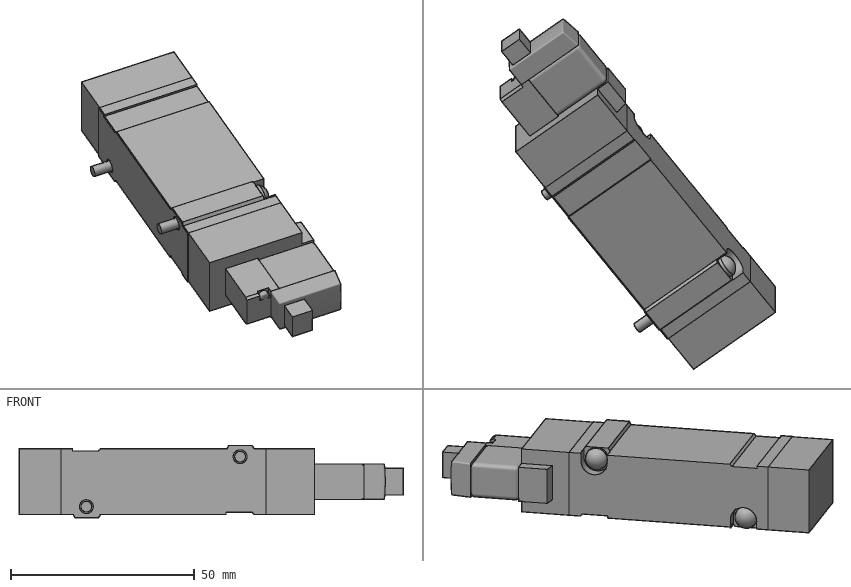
import cadquery as cq
import math


body_start = 11.4
body_end = 67.3
body_back = 28.3
body_height = 18.0
overall_height = 19.8
gasket_thickness = 0.3

key_starts = {-1: 14.8, 1: 56.8}
tab_left_draft = 0.4
tab_crest = 6.4
tab_right_draft = 0.6
tab_rise = (overall_height - body_height) / 2
groove_lead = 0.2
groove_floor = 7.0
groove_right_draft = 0.6
groove_depth = 0.6

screw_offset = 3.6
screw_height = 6.8
screw_diameter = 2.9
screw_tip = -5.1
clearance_diameter = 3.8
head_diameter = 6.2
head_rim = 0.9
head_dome = 2.0
seat_depth = 3.6
seat_diameter = 7.3
seat_y = body_back - seat_depth

pilot_end = 80.7

connector_height = 9.8
connector_end = 94.2
connector_back = 31.9
socket_front = 5.1
socket_back = 14.9
socket_bevel = 0.8
socket_bevel_drop = 0.4
tongue_start = 72.0
tongue_slant = 0.7

cover_front = 12.4

notch_length = 1.6
notch_front = 9.0
notch_depth = 2.1
lamp_diameter = 2.7
lamp_fillet = 0.6
lamp_y = (notch_front + cover_front) / 2

housing_fillet = 1.2
cover_end_back = 30.9
cover_side_end = 99.8
cover_bulge = 0.2
cover_fillet = 0.4
lead_end = 104.9
lead_front = 13.7
lead_back = 19.8
lead_height = 7.3


def block(x_range, y_range, z_range):
    """Box between the given limits on each axis."""
    size = [high - low for low, high in (x_range, y_range, z_range)]
    corner = (x_range[0], y_range[0], z_range[0])
    return cq.Workplane("XY").box(*size, centered=False).translate(corner)


def centred_block(x_range, y_range, height):
    """Box between the given X and Y limits, centred on mid height."""
    return block(x_range, y_range, (-height / 2, height / 2))


def extrude_along_y(points, start, end):
    """Prism of an (X, Z) outline between two Y places."""
    plane = cq.Workplane("XZ", origin=(0, start, 0))
    return plane.polyline(points).close().extrude(start - end)


def cylinder_along_y(x, z, diameter, start, end):
    """Cylinder parallel to Y between two Y places."""
    plane = cq.Workplane("XZ", origin=(x, start, z))
    return plane.circle(diameter / 2).extrude(start - end)


def screw_places():
    """Yield X, Z and the side (+1 above, -1 below) of each screw."""
    for side, start in key_starts.items():
        yield start + screw_offset, side * screw_height, side


def key_tab(start, side):
    """Points of the raised tab above (+1) or below (-1) the body."""
    base = side * body_height / 2
    crest = base + side * tab_rise
    crest_start = start + tab_left_draft
    crest_end = crest_start + tab_crest
    return [
        (start, base),
        (crest_start, crest),
        (crest_end, crest),
        (crest_end + tab_right_draft, base),
    ]


def key_groove(start, side):
    """Points of the groove in the upper (+1) or lower (-1) face of the body."""
    base = side * body_height / 2
    floor = base - side * groove_depth
    floor_start = start - groove_lead
    floor_end = floor_start + groove_floor
    return [
        (floor_start, base),
        (floor_start, floor),
        (floor_end, floor),
        (floor_end + groove_right_draft, base),
    ]


def make_body_outline():
    """Closed (X, Z) outline of the body with its two tabs and two grooves."""
    top = key_groove(key_starts[-1], 1) + key_tab(key_starts[1], 1)
    bottom = key_tab(key_starts[-1], -1) + key_groove(key_starts[1], -1)
    half = body_height / 2
    left = [(body_start, -half), (body_start, half)]
    right = [(body_end, half), (body_end, -half)]
    return left + top + right + bottom[::-1]


def make_gasket():
    gasket = extrude_along_y(make_body_outline(), 0, gasket_thickness)
    for x, z, _ in screw_places():
        gasket = gasket.cut(cylinder_along_y(x, z, clearance_diameter, 0, gasket_thickness))
    return gasket


def make_body():
    body = extrude_along_y(make_body_outline(), gasket_thickness, body_back)
    for x, z, side in screw_places():
        body = body.cut(
            cylinder_along_y(x, z, clearance_diameter, gasket_thickness, seat_y)
        )
        body = body.cut(cylinder_along_y(x, z, seat_diameter, seat_y, body_back))
        opening_end = z + side * seat_diameter
        opening = block(
            (x - seat_diameter / 2, x + seat_diameter / 2),
            (seat_y, body_back),
            (min(z, opening_end), max(z, opening_end)),
        )
        body = body.cut(opening)
    return body


def make_screw(x, z):
    """Dome-headed screw whose head rests on its seat in the body."""
    rim_y = seat_y + head_rim
    crown_y = rim_y + head_dome
    head_radius = head_diameter / 2
    dome_radius = (head_radius**2 + head_dome**2) / (2 * head_dome)
    middle_angle = math.asin(head_radius / dome_radius) / 2
    dome_middle = (
        dome_radius * math.sin(middle_angle),
        crown_y - dome_radius * (1 - math.cos(middle_angle)),
    )
    profile = (
        cq.Workplane("XY")
        .moveTo(0, screw_tip)
        .lineTo(screw_diameter / 2, screw_tip)
        .lineTo(screw_diameter / 2, seat_y)
        .lineTo(head_radius, seat_y)
        .lineTo(head_radius, rim_y)
        .threePointArc(dome_middle, (0, crown_y))
        .close()
    )
    return profile.revolve(360, (0, 0, 0), (0, 1, 0)).translate((x, 0, z))


def make_blank_cap():
    return centred_block((0, body_start), (gasket_thickness, body_back), body_height)


def make_lamp():
    """Round-ended lamp lying along X, bedded in the notch below the bevel."""
    start = connector_end - notch_length
    centre_z = connector_height / 2 - socket_bevel_drop - lamp_diameter / 2
    lamp = cq.Workplane("YZ", origin=(start, lamp_y, centre_z)).circle(lamp_diameter / 2)
    return lamp.extrude(notch_length).faces(">X").edges().fillet(lamp_fillet)


def make_socket():
    """Socket with its free end edges bevelled ahead of the cover, and its lamp."""
    half = connector_height / 2
    bevelled_points = [
        (pilot_end, -half),
        (pilot_end, half),
        (connector_end - socket_bevel, half),
        (connector_end, half - socket_bevel_drop),
        (connector_end, socket_bevel_drop - half),
        (connector_end - socket_bevel, -half),
    ]
    bevelled_part = extrude_along_y(bevelled_points, socket_front, cover_front)
    plain_part = centred_block(
        (pilot_end, connector_end), (cover_front, socket_back), connector_height
    )
    notch = block(
        (connector_end - notch_length, connector_end),
        (notch_front, cover_front),
        (half - notch_depth, half),
    )
    return bevelled_part.cut(notch).union(plain_part).union(make_lamp())


def make_tongue():
    """Slant-ended tongue on the back of the pilot block."""
    tongue_points = [
        (tongue_start, body_back),
        (tongue_start + tongue_slant, connector_back),
        (pilot_end, connector_back),
        (pilot_end, body_back),
    ]
    outline = cq.Workplane("XY", origin=(0, 0, -connector_height / 2))
    return outline.polyline(tongue_points).close().extrude(connector_height)


def make_pilot():
    """Pilot block with the connector socket and the rear tongue."""
    pilot = centred_block((body_end, pilot_end), (gasket_thickness, body_back), body_height)
    return pilot.union(make_socket()).union(make_tongue())


def make_plug_housing():
    """Block behind the socket, rounded on every edge but those against the socket."""
    housing = centred_block(
        (pilot_end, connector_end), (socket_back, connector_back), connector_height
    )
    return housing.edges("|Y or >Y").fillet(housing_fillet)


def make_plug_cover():
    """Cover with a tapered back, a bulged end, rounded edges and the cable lead."""
    half = connector_height / 2
    slab = (
        cq.Workplane("XZ", origin=(0, cover_front, 0))
        .moveTo(connector_end, -half)
        .lineTo(cover_side_end, -half)
        .threePointArc((cover_side_end + cover_bulge, 0), (cover_side_end, half))
        .lineTo(connector_end, half)
        .close()
        .extrude(cover_front - connector_back)
    )
    bulge_end = cover_side_end + cover_bulge
    taper = (connector_back - cover_end_back) / (bulge_end - connector_end)
    reach = lead_end - connector_end
    wedge = (
        cq.Workplane("XY", origin=(0, 0, -half))
        .moveTo(connector_end, connector_back)
        .lineTo(lead_end, connector_back)
        .lineTo(lead_end, connector_back - taper * reach)
        .close()
        .extrude(connector_height)
    )
    cover = slab.cut(wedge)
    cover = cover.edges("not <X").fillet(cover_fillet)
    lead = centred_block((cover_side_end, lead_end), (lead_front, lead_back), lead_height)
    return cover.union(lead)


gasket = make_gasket()
valve_body = make_body()
screws = [make_screw(x, z) for x, z, _ in screw_places()]
blank_cap = make_blank_cap()
pilot = make_pilot()
plug_housing = make_plug_housing()
plug_cover = make_plug_cover()

result = cq.Compound.makeCompound(
    [
        gasket.val(),
        valve_body.val(),
        blank_cap.val(),
        pilot.val(),
        plug_housing.val(),
        plug_cover.val(),
        *[screw.val() for screw in screws],
    ]
)